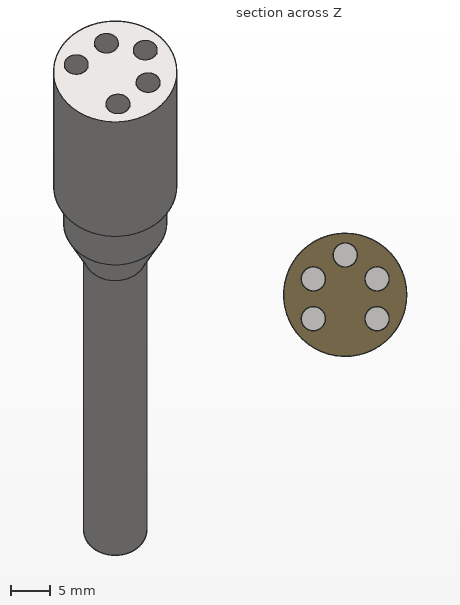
import cadquery as cq

total_length = 100.0
barrel_diameter = 15.5
collar_diameter = 13.0
cable_diameter = 8.0

barrel_length = 25.0
collar_length = 8.0
taper_length = 7.0

contact_diameter = 3.0
contact_depth = 10.0
key_contact_y = 5.0
side_contact_x = 4.0
upper_contact_y = 2.0
lower_contact_y = -3.0

barrel_bottom = total_length - barrel_length
collar_bottom = barrel_bottom - collar_length
taper_bottom = collar_bottom - taper_length


def make_body():
    """Barrel, collar, taper and cable revolved as one profile about Z."""
    barrel_radius = barrel_diameter / 2
    collar_radius = collar_diameter / 2
    cable_radius = cable_diameter / 2
    profile = [
        (0, 0),
        (cable_radius, 0),
        (cable_radius, taper_bottom),
        (collar_radius, collar_bottom),
        (collar_radius, barrel_bottom),
        (barrel_radius, barrel_bottom),
        (barrel_radius, total_length),
        (0, total_length),
    ]
    return cq.Workplane("XZ").polyline(profile).close().revolve(360, (0, 0), (0, 1))


def make_contact_holes():
    """Five blind contact holes: one on the Y axis and two mirrored pairs."""
    centers = [(0, key_contact_y)]
    for side in (-1, 1):
        for y in (upper_contact_y, lower_contact_y):
            centers.append((side * side_contact_x, y))
    return (
        cq.Workplane("XY")
        .workplane(offset=total_length)
        .pushPoints(centers)
        .circle(contact_diameter / 2)
        .extrude(-contact_depth)
    )


result = make_body().cut(make_contact_holes())